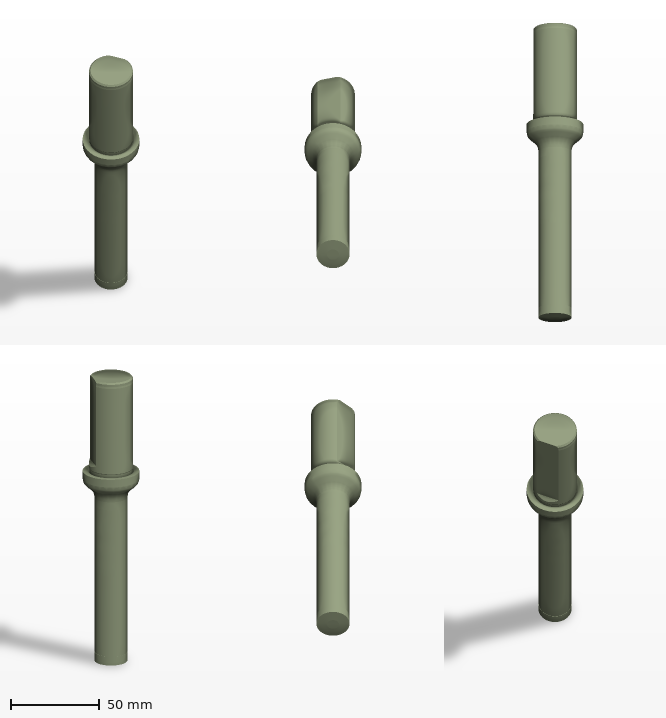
import cadquery as cq

TIP_CONE_TOP = 0.5
HEAD_TOP = 5.8
STEM_TAPER_BOTTOM = 53.7
STEM_TAPER_TOP = 93.2
FLARE_BOTTOM = 98.0
FLARE_MIDDLE = 104.2
FLANGE_BOTTOM = 109.1
FLANGE_TOP = 113.7
NECK_TOP = 115.3
OVERALL_LENGTH = 170.0

TIP_DIAMETER = 6.8
HEAD_DIAMETER = 18.7
STEM_DIAMETER = 18.4
STEM_TOP_DIAMETER = 18.7
FLANGE_DIAMETER = 32.0
NECK_DIAMETER = 24.5
SHANK_DIAMETER = 25.0

FLARE_END_TANGENT = (0, 1)

NECK_CHAMFER_HEIGHT = 0.5
UNDERCUT_WIDTH = 0.8
UNDERCUT_DEPTH = 0.5
END_CHAMFER = 0.8
LEAD_IN_BOTTOM = 166.8
LEAD_IN_TOP = 167.8
LEAD_IN_DIAMETER = 24.6

FLAT_OFFSET = 10.5
FLAT_BOTTOM = 117.5
FLAT_RUNOUT = 2.0


def make_shank_profile():
    """Half section of the holder, from the stem up to the shank end, with an undercut at the neck."""
    stem_r = STEM_DIAMETER / 2
    stem_top_r = STEM_TOP_DIAMETER / 2
    flange_r = FLANGE_DIAMETER / 2
    flare_middle_r = (stem_top_r + flange_r) / 2
    neck_r = NECK_DIAMETER / 2
    shank_r = SHANK_DIAMETER / 2
    lead_in_r = LEAD_IN_DIAMETER / 2
    return (
        cq.Workplane("XZ")
        .moveTo(0, HEAD_TOP)
        .lineTo(stem_r, HEAD_TOP)
        .lineTo(stem_r, STEM_TAPER_BOTTOM)
        .lineTo(stem_top_r, STEM_TAPER_TOP)
        .lineTo(stem_top_r, FLARE_BOTTOM)
        .spline(
            [(flare_middle_r, FLARE_MIDDLE), (flange_r, FLANGE_BOTTOM)],
            tangents=[FLARE_END_TANGENT, FLARE_END_TANGENT],
            includeCurrent=True,
        )
        .lineTo(flange_r, FLANGE_TOP)
        .lineTo(neck_r + UNDERCUT_WIDTH, FLANGE_TOP)
        .lineTo(neck_r, FLANGE_TOP - UNDERCUT_DEPTH)
        .lineTo(neck_r, NECK_TOP)
        .lineTo(shank_r, NECK_TOP + NECK_CHAMFER_HEIGHT)
        .lineTo(shank_r, LEAD_IN_BOTTOM)
        .lineTo(lead_in_r, LEAD_IN_TOP)
        .lineTo(lead_in_r, OVERALL_LENGTH - END_CHAMFER)
        .lineTo(lead_in_r - END_CHAMFER, OVERALL_LENGTH)
        .lineTo(0, OVERALL_LENGTH)
        .close()
    )


def make_flat_cutter():
    """Material removed by the clamping flat, with a 45-degree run-out at its lower end."""
    outer = FLAT_OFFSET + FLAT_RUNOUT
    return (
        cq.Workplane("YZ")
        .moveTo(outer, FLAT_BOTTOM)
        .lineTo(FLAT_OFFSET, FLAT_BOTTOM + FLAT_RUNOUT)
        .lineTo(FLAT_OFFSET, OVERALL_LENGTH)
        .lineTo(outer, OVERALL_LENGTH)
        .close()
        .extrude(SHANK_DIAMETER / 2, both=True)
    )


def make_holder():
    """Stem, flare, flange and flatted shank as one turned body."""
    return make_shank_profile().revolve(360, (0, 0), (0, 1)).cut(make_flat_cutter())


def make_cutting_head():
    """Short cylinder with a shallow blunt cone at its tip, seated on the lower end of the stem."""
    tip_r = TIP_DIAMETER / 2
    head_r = HEAD_DIAMETER / 2
    profile = [(0, 0), (tip_r, 0), (head_r, TIP_CONE_TOP), (head_r, HEAD_TOP), (0, HEAD_TOP)]
    return cq.Workplane("XZ").polyline(profile).close().revolve(360, (0, 0), (0, 1))


holder = make_holder()
cutting_head = make_cutting_head()
result = cq.Compound.makeCompound([holder.val(), cutting_head.val()])